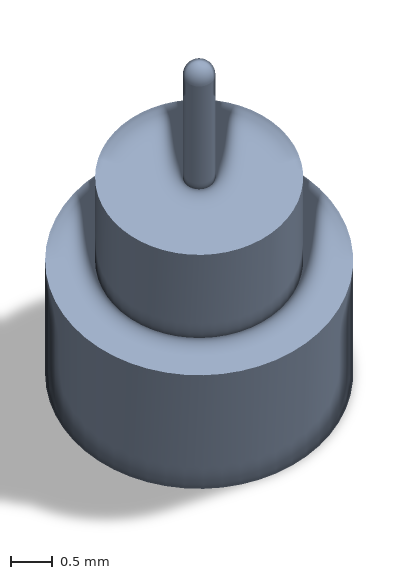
import cadquery as cq
import math

total_height = 5.6
base_diameter = 3.7
collar_diameter = 2.5
insert_diameter = 1.95
pin_diameter = 0.39

base_height = 2.05
collar_height = 1.5

base_radius = base_diameter / 2
collar_radius = collar_diameter / 2
insert_radius = insert_diameter / 2
pin_radius = pin_diameter / 2

collar_top = base_height + collar_height
dome_start = total_height - pin_radius
dome_diagonal = pin_radius * math.cos(math.pi / 4)


def turned_body():
    """Revolve the half profile, drawn on the -X side, about the Z axis."""
    profile = (
        cq.Workplane("XZ")
        .moveTo(0, 0)
        .lineTo(-base_radius, 0)
        .lineTo(-base_radius, base_height)
        .lineTo(-collar_radius, base_height)
        .lineTo(-collar_radius, collar_top)
        .lineTo(-insert_radius, collar_top)
        .lineTo(-pin_radius, collar_top)
        .lineTo(-pin_radius, dome_start)
        .threePointArc((-dome_diagonal, dome_start + dome_diagonal), (0, total_height))
        .close()
    )
    return profile.revolve(360, (0, 0, 0), (0, 1, 0), clean=False)


result = turned_body()